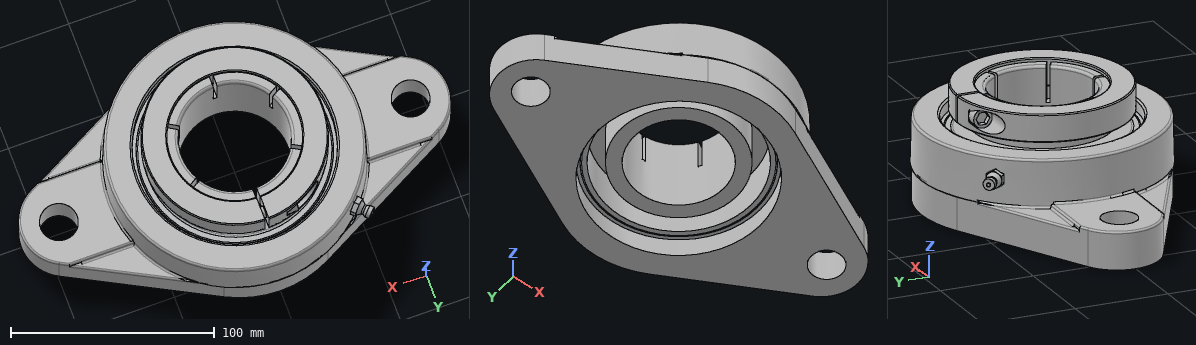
import cadquery as cq
import math

flange_half_length = 111.66
ear_radius = 23.0
ear_centre = flange_half_length - ear_radius
waist_half_width = 65.0
waist_radius = 58.5
waist_centre = waist_half_width - waist_radius
bolt_spacing = 184.0
bolt_hole_diameter = 19.0
web_height = 18.0
pad_height = 20.1
pad_half_width = 22.7
flange_fillet = 1.0
root_fillet = pad_height - web_height - flange_fillet

hub_radius = 65.0
hub_height = 43.2
hub_draft = 1.3
hub_fillet = 1.2
mouth_diameter = 100.83
mouth_chamfer = 1.0

mouth_depth = 6.5
bearing_diameter = 100.0
outer_ring_width = 25.0
outer_ring_top = hub_height - mouth_depth
bearing_centre = outer_ring_top - outer_ring_width / 2
outer_ring_bottom = bearing_centre - outer_ring_width / 2
outer_ring_edge_chamfer = 0.7
outer_ring_bore = 90.0
shield_cone_diameter = 88.0
shield_rise = 1.6
shield_thickness = 2.0

shaft_diameter = 55.56
neck_diameter = 72.0
sleeve_diameter = 66.67
sleeve_top = 57.9
sleeve_bore_fillet = 1.5
sleeve_slot_count = 6
sleeve_slot_width = 1.98
sleeve_slot_length = 19.3

collar_diameter = 92.0
collar_bottom = 45.1
collar_top = 59.9
collar_chamfer = 0.6
collar_gap = 2.0
collar_gap_angle = 90.0
screw_offset = 39.6
screw_height = (collar_bottom + collar_top) / 2
screw_diameter = 6.0
screw_head_diameter = 10.0
screw_head_height = 6.0
screw_recess_diameter = 11.2
screw_seat_x = -11.0
screw_end_x = 14.0
socket_across_flats = 6.4
socket_depth = 3.0

nipple_height = 32.0
nipple_direction = 135.0
nipple_root = 58.0
nipple_thread_diameter = 6.0
hex_start = 64.0
hex_end = 67.3
hex_across_flats = 8.4
shoulder_end = 69.4
neck_end = 70.4
rim_position = 72.0
head_end = 74.2
tip_end = 74.9
nipple_neck_diameter = 4.92
nipple_head_diameter = 5.99
nipple_rim_diameter = 6.4
nipple_tip_diameter = 1.98


nipple_plane = cq.Plane(
    origin=(0, 0, nipple_height),
    xDir=(0, 0, 1),
    normal=(math.cos(math.radians(nipple_direction)), math.sin(math.radians(nipple_direction)), 0),
)


def cylinder(diameter, bottom, top):
    return cq.Workplane("XY").workplane(offset=bottom).circle(diameter / 2).extrude(top - bottom)


def hex_prism(plane, across_flats, length):
    """Hexagonal bar along the plane's normal with a corner on the plane's X direction."""
    corner_radius = across_flats / math.sqrt(3)
    corners = [
        (corner_radius * math.cos(k * math.pi / 3), corner_radius * math.sin(k * math.pi / 3))
        for k in range(6)
    ]
    return cq.Workplane(plane).polyline(corners).close().extrude(length)


def flange_outline():
    """Rounded rhombus: two ear arcs and two waist arcs joined by straight tangents."""
    centre_distance = math.hypot(ear_centre, waist_centre)
    normal = math.acos((waist_radius - ear_radius) / centre_distance) - math.atan2(waist_centre, ear_centre)
    ear_x = ear_centre + ear_radius * math.cos(normal)
    ear_y = ear_radius * math.sin(normal)
    waist_x = waist_radius * math.cos(normal)
    waist_y = waist_centre + waist_radius * math.sin(normal)
    return (
        cq.Workplane("XY")
        .moveTo(ear_x, -ear_y)
        .threePointArc((flange_half_length, 0), (ear_x, ear_y))
        .lineTo(waist_x, waist_y)
        .threePointArc((0, waist_half_width), (-waist_x, waist_y))
        .lineTo(-ear_x, ear_y)
        .threePointArc((-flange_half_length, 0), (-ear_x, -ear_y))
        .lineTo(-waist_x, -waist_y)
        .threePointArc((0, -waist_half_width), (waist_x, -waist_y))
        .close()
    )


def flange():
    """Plate with a raised pad on each ear, rounded along its rims and where pad meets plate."""
    web = flange_outline().extrude(web_height).faces(">Z").edges().fillet(flange_fillet)
    strip = cq.Workplane("XY").rect(2 * flange_half_length, 2 * pad_half_width).extrude(pad_height)
    pad = flange_outline().extrude(pad_height).intersect(strip).faces(">Z").edges().fillet(flange_fillet)
    hub_seat = flange_outline().extrude(web_height).intersect(cylinder(2 * hub_radius, 0, web_height))
    return web.union(pad).union(pad_roots()).union(hub_seat)


def pad_roots():
    """Concave fillets along both long sides of the pads."""
    outer_y = pad_half_width + root_fillet
    arc_middle = root_fillet * (1 - math.sqrt(0.5))
    root = (
        cq.Workplane("YZ", origin=(-ear_centre, 0, 0))
        .moveTo(pad_half_width, web_height)
        .lineTo(outer_y, web_height)
        .threePointArc(
            (pad_half_width + arc_middle, web_height + arc_middle),
            (pad_half_width, web_height + root_fillet),
        )
        .close().extrude(2 * ear_centre)
    )
    return root.union(root.mirror("XZ")).intersect(flange_outline().extrude(pad_height))


def hub_root(base_height):
    """Concave fillet ring where the hub rises from a flat at the given height."""
    draft = math.tan(math.radians(hub_draft))
    inner_radius = hub_radius - hub_fillet
    base_radius = hub_radius - (base_height - web_height) * draft
    top_radius = base_radius - root_fillet * draft
    arc_middle = root_fillet * (1 - math.sqrt(0.5))
    return (
        cq.Workplane("XZ").moveTo(inner_radius, base_height)
        .lineTo(base_radius + root_fillet, base_height)
        .threePointArc(
            (base_radius + arc_middle, base_height + arc_middle),
            (top_radius, base_height + root_fillet),
        )
        .lineTo(inner_radius, base_height + root_fillet).close()
        .revolve(360, (0, 0, 0), (0, 1, 0))
    )


def hub_roots():
    above_web = hub_root(web_height).intersect(flange_outline().extrude(hub_height))
    pad_strip = cq.Workplane("XY").rect(2 * flange_half_length, 2 * (pad_half_width - flange_fillet))
    above_pad = hub_root(pad_height).intersect(pad_strip.extrude(hub_height))
    return above_web.union(above_pad)


def bearing_ball():
    return cq.Workplane("XY").sphere(bearing_diameter / 2).translate((0, 0, bearing_centre))


def make_housing():
    hub = (
        cq.Workplane("XY").workplane(offset=web_height).circle(hub_radius)
        .extrude(hub_height - web_height, taper=hub_draft).faces(">Z").edges().fillet(hub_fillet)
    )
    mouth = cylinder(mouth_diameter, outer_ring_top, hub_height)
    mouth_edge = (
        cq.Workplane("XY").workplane(offset=hub_height).circle(mouth_diameter / 2 + mouth_chamfer)
        .workplane(offset=-mouth_chamfer).circle(mouth_diameter / 2).loft()
    )
    underside = cylinder(mouth_diameter, 0, outer_ring_bottom)
    bolt_holes = (
        cq.Workplane("XY").pushPoints([(-bolt_spacing / 2, 0), (bolt_spacing / 2, 0)])
        .circle(bolt_hole_diameter / 2).extrude(pad_height)
    )
    body = flange().union(hub).union(hub_roots()).cut(bolt_holes)
    body = body.cut(mouth).cut(mouth_edge).cut(underside).cut(bearing_ball())
    thread = (
        cq.Workplane(nipple_plane).workplane(offset=nipple_root)
        .circle(nipple_thread_diameter / 2).extrude(hex_start - nipple_root)
    )
    return body.cut(thread).cut(nipple_hex())


def make_outer_ring():
    slab = cylinder(bearing_diameter, outer_ring_bottom, outer_ring_top)
    ring = bearing_ball().intersect(slab)
    ring = ring.faces("<Z or >Z").edges().chamfer(outer_ring_edge_chamfer)
    return ring.cut(cylinder(outer_ring_bore, outer_ring_bottom, outer_ring_top))


def make_shield():
    """Ring closing the bearing, flat at its rim and rising gently towards the inner ring."""
    bottom = outer_ring_top - shield_thickness
    return (
        cq.Workplane("XZ")
        .polyline([
            (neck_diameter / 2, bottom),
            (outer_ring_bore / 2, bottom),
            (outer_ring_bore / 2, outer_ring_top),
            (shield_cone_diameter / 2, outer_ring_top),
            (neck_diameter / 2, outer_ring_top + shield_rise),
        ])
        .close().revolve(360, (0, 0, 0), (0, 1, 0))
    )


def make_inner_ring():
    ring = cylinder(neck_diameter, outer_ring_bottom, collar_bottom)
    ring = ring.union(cylinder(sleeve_diameter, collar_bottom, sleeve_top))
    ring = ring.cut(cylinder(shaft_diameter, outer_ring_bottom, sleeve_top))
    ring = ring.faces(">Z").edges(cq.selectors.RadiusNthSelector(0)).fillet(sleeve_bore_fillet)
    slot = (
        cq.Workplane("XY").workplane(offset=sleeve_top)
        .rect(sleeve_diameter / 2, sleeve_slot_width).extrude(-sleeve_slot_length)
        .translate((sleeve_diameter / 4, 0, 0))
    )
    for index in range(sleeve_slot_count):
        angle = collar_gap_angle + index * 360 / sleeve_slot_count
        ring = ring.cut(slot.rotate((0, 0, 0), (0, 0, 1), angle))
    return ring


def screw_bar(diameter, start_x, end_x):
    return (
        cq.Workplane("YZ", origin=(start_x, screw_offset, screw_height))
        .circle(diameter / 2).extrude(end_x - start_x)
    )


def make_collar():
    collar = cylinder(collar_diameter, collar_bottom, collar_top).cut(
        cylinder(sleeve_diameter, collar_bottom, collar_top))
    collar = collar.faces("<Z or >Z").edges().chamfer(collar_chamfer)
    gap = cq.Workplane("XY").box(collar_gap, collar_diameter, collar_top, centered=(True, False, False))
    recess = screw_bar(screw_recess_diameter, -collar_diameter / 2, screw_seat_x)
    hole = screw_bar(screw_diameter, screw_seat_x, screw_end_x)
    return collar.cut(gap).cut(recess).cut(hole)


def make_screw():
    head_x = screw_seat_x - screw_head_height
    screw = screw_bar(screw_head_diameter, head_x, screw_seat_x)
    screw = screw.union(screw_bar(screw_diameter, screw_seat_x, screw_end_x))
    socket_plane = cq.Plane(origin=(head_x, screw_offset, screw_height), xDir=(0, 1, 0), normal=(1, 0, 0))
    socket = hex_prism(socket_plane, socket_across_flats, socket_depth)
    return screw.cut(socket)


def nipple_hex():
    plane = cq.Plane(
        origin=nipple_plane.toWorldCoords((0, 0, hex_start)),
        xDir=nipple_plane.xDir,
        normal=nipple_plane.zDir,
    )
    return hex_prism(plane, hex_across_flats, hex_end - hex_start)


def make_nipple():
    profile = [
        (0, nipple_root),
        (nipple_thread_diameter / 2, nipple_root),
        (nipple_thread_diameter / 2, hex_start),
        (hex_across_flats / 2, hex_start),
        (hex_across_flats / 2, hex_end),
        (nipple_neck_diameter / 2, shoulder_end),
        (nipple_neck_diameter / 2, neck_end),
        (nipple_rim_diameter / 2, rim_position),
        (nipple_head_diameter / 2, head_end),
        (nipple_tip_diameter / 2, head_end),
        (nipple_tip_diameter / 2, tip_end),
        (0, tip_end),
    ]
    axis = cq.Plane(origin=nipple_plane.origin, xDir=(0, 0, 1), normal=nipple_plane.yDir * -1)
    body = cq.Workplane(axis).polyline(profile).close().revolve(360, (0, 0, 0), (0, 1, 0))
    return body.union(nipple_hex())


housing = make_housing()
outer_ring = make_outer_ring()
shield = make_shield()
inner_ring = make_inner_ring()
collar = make_collar()
screw = make_screw()
nipple = make_nipple()

result = cq.Compound.makeCompound([
    housing.val(),
    outer_ring.val(),
    shield.val(),
    inner_ring.val(),
    collar.val(),
    screw.val(),
    nipple.val(),
])